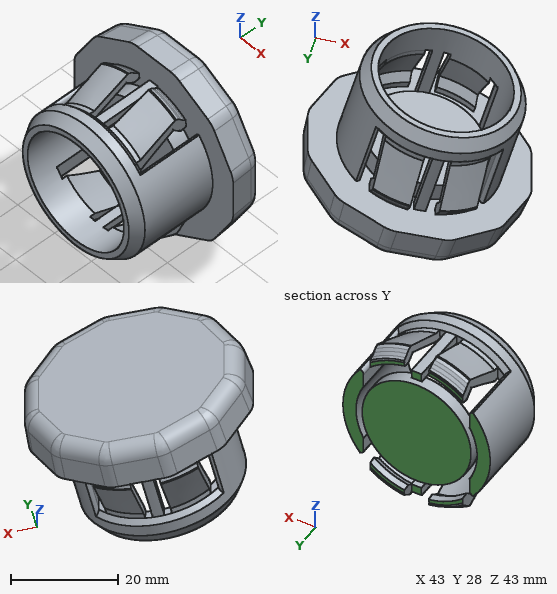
import cadquery as cq
import math


CAP_WIDTH = 43.0
CAP_THICKNESS = 8.0
CAP_SIDES = 12
CAP_DRAFT_DEGREES = 5.0
CAP_CORNER_RADIUS = 5.0
CAP_BACK_RADIUS = 3.3

BARREL_RADIUS = 32.0 / 2
BORE_RADIUS = 26.1 / 2
BARREL_LENGTH = 20.0
NOSE_LENGTH = 2.62
NOSE_RADIUS = 14.4

PLUG_RADIUS = 23.65 / 2
PLUG_LENGTH = 3.95

WINDOW_END = 13.98
WINDOW_HALF_WIDTH = 11.45
SILL_HEIGHT = 10.28
SILL_ROUND = 0.85
CUT_REACH = CAP_WIDTH / 2

ROOT_RADIUS = 14.95
RIM_BEVEL = BARREL_RADIUS - ROOT_RADIUS
RIB_WIDTH = 2.25

CLIP_OUTER_X = 10.0
CLIP_INNER_X = 2.6
CLIP_INNER_TILT_DEGREES = 4.0
CLIP_ROOT_LENGTH = 1.15
CLIP_PEAK_RADIUS = 18.35
CLIP_PEAK_START = 4.0
CLIP_PEAK_END = 3.75
CLIP_TIP_FACETS = [(3.0, 18.05), (2.45, 17.6), (1.8, 17.1), (1.25, 16.75)]
CLIP_TIP_END = (1.15, 15.45)
CLIP_HEEL = (2.62, 15.22)
CLIP_ELBOW = (4.45, 16.45)


def revolve_about_axis(points):
    """Revolve (distance from the seat, radius) points about the Y axis."""
    outline = [(radius, -distance) for distance, radius in points]
    return cq.Workplane("XY").polyline(outline).close().revolve(360, (0, 0, 0), (0, 1, 0))


def make_cap():
    half_step = math.pi / CAP_SIDES
    corner_distance = CAP_WIDTH / 2 / math.cos(half_step)
    angles = [(2 * i + 1) * half_step for i in range(CAP_SIDES)]
    corners = [(corner_distance * math.cos(a), corner_distance * math.sin(a)) for a in angles]
    blank = cq.Workplane("XZ").polyline(corners).close().extrude(-CAP_THICKNESS, taper=CAP_DRAFT_DEGREES)
    rounded = blank.edges("not #Y").fillet(CAP_CORNER_RADIUS)
    return rounded.faces(">Y").edges().fillet(CAP_BACK_RADIUS)


def make_plug():
    return cq.Workplane("XZ").circle(PLUG_RADIUS).extrude(PLUG_LENGTH)


def make_window_cutter():
    """Upper window: upright sides that round over onto level sills."""
    round_start = SILL_HEIGHT - SILL_ROUND
    sill_start = WINDOW_HALF_WIDTH + SILL_ROUND
    mid_x = sill_start - SILL_ROUND * math.cos(math.pi / 4)
    mid_z = round_start + SILL_ROUND * math.sin(math.pi / 4)
    outline = (
        cq.Workplane("XZ")
        .moveTo(-WINDOW_HALF_WIDTH, 0)
        .lineTo(-WINDOW_HALF_WIDTH, round_start)
        .threePointArc((-mid_x, mid_z), (-sill_start, SILL_HEIGHT))
        .lineTo(-CUT_REACH, SILL_HEIGHT)
        .lineTo(-CUT_REACH, CUT_REACH)
        .lineTo(CUT_REACH, CUT_REACH)
        .lineTo(CUT_REACH, SILL_HEIGHT)
        .lineTo(sill_start, SILL_HEIGHT)
        .threePointArc((mid_x, mid_z), (WINDOW_HALF_WIDTH, round_start))
        .lineTo(WINDOW_HALF_WIDTH, 0)
        .close()
    )
    return outline.extrude(WINDOW_END + RIM_BEVEL)


def make_barrel():
    sleeve = cq.Workplane("XZ").circle(BARREL_RADIUS).circle(BORE_RADIUS).extrude(WINDOW_END + RIM_BEVEL)
    window = make_window_cutter()
    sleeve = sleeve.cut(window).cut(window.mirror("XY"))
    rim = revolve_about_axis([
        (WINDOW_END, BORE_RADIUS),
        (WINDOW_END, ROOT_RADIUS),
        (WINDOW_END + RIM_BEVEL, BARREL_RADIUS),
        (BARREL_LENGTH - NOSE_LENGTH, BARREL_RADIUS),
        (BARREL_LENGTH, NOSE_RADIUS),
        (BARREL_LENGTH, BORE_RADIUS),
    ])
    return sleeve.union(rim)


def make_ribs():
    """Middle bars of the upper and lower windows."""
    ring = cq.Workplane("XZ").circle(ROOT_RADIUS).circle(BORE_RADIUS).extrude(WINDOW_END)
    slab = cq.Workplane("XZ").rect(RIB_WIDTH, 2 * CUT_REACH).extrude(WINDOW_END)
    return ring.intersect(slab)


def make_clip():
    """Clip on the +X, +Z side: a flared ring trimmed to one finger."""
    root_start = WINDOW_END - CLIP_ROOT_LENGTH
    flared_ring = revolve_about_axis([
        (WINDOW_END, BORE_RADIUS),
        (WINDOW_END, ROOT_RADIUS),
        (root_start, ROOT_RADIUS),
        (CLIP_PEAK_START, CLIP_PEAK_RADIUS),
        (CLIP_PEAK_END, CLIP_PEAK_RADIUS),
        *CLIP_TIP_FACETS,
        CLIP_TIP_END,
        CLIP_HEEL,
        CLIP_ELBOW,
        (root_start, BORE_RADIUS),
    ])
    lean = math.tan(math.radians(CLIP_INNER_TILT_DEGREES))
    finger = (
        cq.Workplane("XZ")
        .polyline([
            (CLIP_INNER_X - ROOT_RADIUS * lean, 0),
            (CLIP_OUTER_X, 0),
            (CLIP_OUTER_X, CUT_REACH),
            (CLIP_INNER_X + (CUT_REACH - ROOT_RADIUS) * lean, CUT_REACH),
        ])
        .close()
        .extrude(WINDOW_END)
    )
    return flared_ring.intersect(finger)


result = make_cap().union(make_plug()).union(make_barrel()).union(make_ribs())

right_clip = make_clip()
upper_clips = right_clip.union(right_clip.mirror("YZ"))
for clips in (upper_clips, upper_clips.mirror("XY")):
    result = result.union(clips)